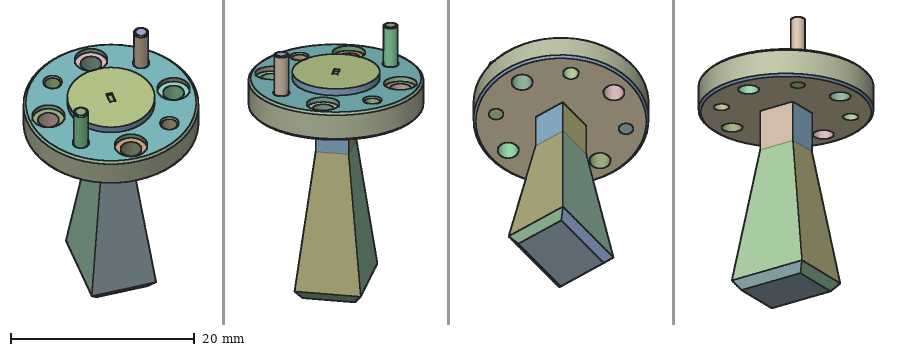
import cadquery as cq
import math

FLANGE_DIAMETER = 19.05
FLANGE_BOTTOM_Z = 21.37
FLANGE_TOP_Z = 24.67
FLANGE_CHAMFER = 0.25
BOSS_DIAMETER = 9.5
BOSS_TOP_Z = 25.46

WAVEGUIDE_LENGTH = 1.32
WAVEGUIDE_WIDTH = 0.61
WAVEGUIDE_DEPTH = 0.25

PITCH_RADIUS = 7.15
SCREW_HOLE_DIAMETER = 2.28
COUNTERBORE_DIAMETER = 3.57
COUNTERBORE_DEPTH = 0.55
SCREW_ANGLES = (0, 90, 180, 270)
DOWEL_HOLE_DIAMETER = 1.7
DOWEL_HOLE_CHAMFER = 0.18
DOWEL_HOLE_ANGLES = (45, 225)

PIN_DIAMETER = 1.58
PIN_TOP_Z = 29.27
PIN_CHAMFER_RADIAL = 0.18
PIN_CHAMFER_HEIGHT = 0.12
PIN_HOLE_CHAMFER = 0.12
PIN_ANGLES = (135, 315)

NECK_SIZE = (4.33, 3.65)
HORN_MOUTH_SIZE = (9.28, 7.35)
HORN_TIP_SIZE = (7.8, 5.8)
NECK_BOTTOM_Z = 16.75
HORN_MOUTH_Z = 1.05


def pitch_point(angle):
    """Point on the pitch circle at an angle in degrees from +X."""
    turn = math.radians(angle)
    return (PITCH_RADIUS * math.cos(turn), PITCH_RADIUS * math.sin(turn))


def cylinder(diameter, bottom_z, top_z, center=(0, 0)):
    """Vertical cylinder between two heights."""
    return (
        cq.Workplane("XY", origin=(*center, bottom_z))
        .circle(diameter / 2)
        .extrude(top_z - bottom_z)
    )


def tapered_block(bottom_size, bottom_z, top_size, top_z):
    """Straight-sided block between two centered rectangles."""
    return (
        cq.Workplane("XY", origin=(0, 0, bottom_z))
        .rect(*bottom_size)
        .workplane(offset=top_z - bottom_z)
        .rect(*top_size)
        .loft(ruled=True)
    )


def counterbored_hole(center):
    """Cutter for a through screw hole, counterbored from the flange top."""
    bore = cylinder(SCREW_HOLE_DIAMETER, FLANGE_BOTTOM_Z, FLANGE_TOP_Z, center)
    recess_bottom_z = FLANGE_TOP_Z - COUNTERBORE_DEPTH
    return bore.union(cylinder(COUNTERBORE_DIAMETER, recess_bottom_z, FLANGE_TOP_Z, center))


def chamfered_hole(diameter, chamfer, center):
    """Cutter for a through hole with a chamfer at the flange top."""
    bore = cylinder(diameter, FLANGE_BOTTOM_Z, FLANGE_TOP_Z, center)
    cone = cq.Solid.makeCone(
        diameter / 2, diameter / 2 + chamfer, chamfer,
        pnt=cq.Vector(*center, FLANGE_TOP_Z - chamfer),
    )
    return bore.union(cq.Workplane(cone))


def make_horn():
    """Flange, boss, neck and flared horn as one body, with all holes cut."""
    disc = cylinder(FLANGE_DIAMETER, FLANGE_BOTTOM_Z, FLANGE_TOP_Z)
    disc = disc.faces("<Z or >Z").edges().chamfer(FLANGE_CHAMFER)
    boss = cylinder(BOSS_DIAMETER, FLANGE_TOP_Z, BOSS_TOP_Z)
    neck = tapered_block(NECK_SIZE, NECK_BOTTOM_Z, NECK_SIZE, FLANGE_BOTTOM_Z)
    flare = tapered_block(HORN_MOUTH_SIZE, HORN_MOUTH_Z, NECK_SIZE, NECK_BOTTOM_Z)
    tip = tapered_block(HORN_TIP_SIZE, 0, HORN_MOUTH_SIZE, HORN_MOUTH_Z)
    body = disc.union(boss).union(neck).union(flare).union(tip)

    for angle in SCREW_ANGLES:
        body = body.cut(counterbored_hole(pitch_point(angle)))
    for angle in DOWEL_HOLE_ANGLES:
        body = body.cut(chamfered_hole(DOWEL_HOLE_DIAMETER, DOWEL_HOLE_CHAMFER, pitch_point(angle)))
    for angle in PIN_ANGLES:
        body = body.cut(chamfered_hole(PIN_DIAMETER, PIN_HOLE_CHAMFER, pitch_point(angle)))

    pocket = (
        cq.Workplane("XY", origin=(0, 0, BOSS_TOP_Z))
        .rect(WAVEGUIDE_LENGTH, WAVEGUIDE_WIDTH)
        .extrude(-WAVEGUIDE_DEPTH)
    )
    return body.cut(pocket)


def make_pin(center):
    """Dowel pin through the flange, chamfered at its top end."""
    pin = cylinder(PIN_DIAMETER, FLANGE_BOTTOM_Z, PIN_TOP_Z, center)
    return pin.faces(">Z").edges().chamfer(PIN_CHAMFER_HEIGHT, PIN_CHAMFER_RADIAL)


horn = make_horn()
pins = [make_pin(pitch_point(angle)) for angle in PIN_ANGLES]

result = cq.Compound.makeCompound([horn.val(), *[pin.val() for pin in pins]])